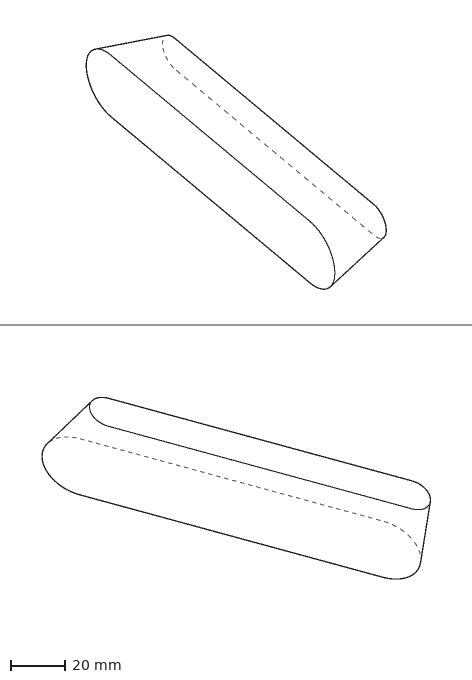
import cadquery as cq
import math

length = 150.0
front_height = 30.0
back_height = 15.0
depth = 30.0

wall_inset = (front_height - back_height) / 2
draft_angle = math.degrees(math.atan2(wall_inset, depth))


def tapered_bar():
    """Bar with full-round ends, narrowing from the front face at Y = 0 toward +Y."""
    front_plane = cq.Plane(origin=(0, 0, 0), xDir=(1, 0, 0), normal=(0, 1, 0))
    return (
        cq.Workplane(front_plane)
        .slot2D(length, front_height)
        .extrude(depth, taper=draft_angle)
    )


result = tapered_bar()